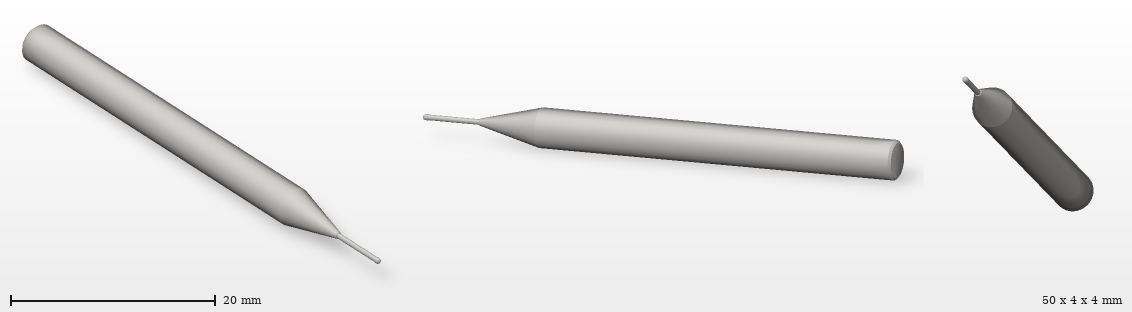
import cadquery as cq
import math

total_length = 50.0
shank_radius = 2.0
shank_end_chamfer = 0.25
cone_start = 37.5
cone_end = 44.0
cone_end_radius = 0.35
neck_radius = 0.275
ball_radius = 0.3
head_length = 0.6

head_start = total_length - head_length
ball_center = total_length - ball_radius
arc_mid_offset = ball_radius * math.sqrt(0.5)

profile = (
    cq.Workplane("XY")
    .moveTo(0, 0)
    .lineTo(0, shank_radius - shank_end_chamfer)
    .lineTo(shank_end_chamfer, shank_radius)
    .lineTo(cone_start, shank_radius)
    .lineTo(cone_end, cone_end_radius)
    .lineTo(cone_end, neck_radius)
    .lineTo(head_start, neck_radius)
    .lineTo(head_start, ball_radius)
    .lineTo(ball_center, ball_radius)
    .threePointArc((ball_center + arc_mid_offset, arc_mid_offset), (total_length, 0))
    .close()
)

result = profile.revolve(360, (0, 0, 0), (1, 0, 0))